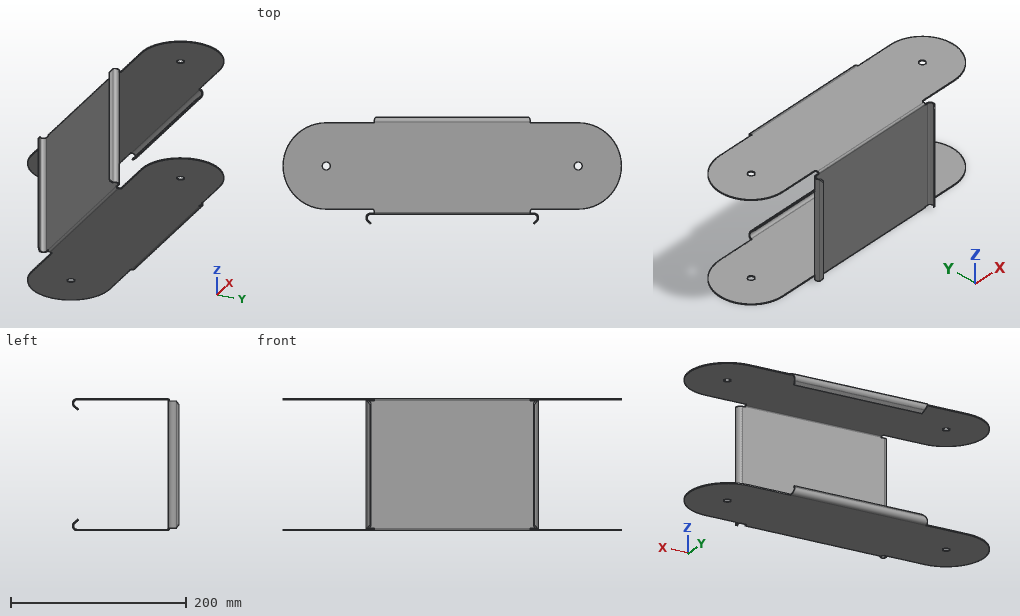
import cadquery as cq
import math

length = 385.0
height = 150.0
sheet = 1.5
plate_width = 98.5
hole_diameter = 9.0
web_front_y = -55.0
flange_width = 178.0
corner_radius = 0.8
relief_radius = 2.0
wing_height = 144.8
web_hook_reach = 98.0
plate_hook_reach = 55.5
hook_radius = 5.5
web_hook_angle = 135.0
web_lip_length = 4.5
web_lip_chamfer = 4.2
plate_hook_angle = 140.0
plate_lip_length = 5.5
plate_hook_taper = 5.5

end_radius = plate_width / 2
hole_spacing = length - plate_width
web_back_y = web_front_y + sheet
half_height = height / 2
bend_outer = corner_radius + sheet
bend_edge_y = web_front_y + bend_outer
bend_edge_z = half_height - bend_outer


def hook(width, angle, lip_length, narrowing, narrow_bend):
    """Hook running along +X and curling to -Y, centred on Z; its sheet starts at the origin.

    Both ends slope inwards by `narrowing` at the tip, from the start of the bend if
    `narrow_bend` is set and otherwise from the start of the lip.
    """
    turn = math.radians(angle)
    inner_radius = hook_radius - sheet

    def on_bend(radius, angle):
        return radius * math.sin(angle), radius * math.cos(angle) - hook_radius

    lip_x = lip_length * math.cos(turn)
    lip_y = -lip_length * math.sin(turn)
    outer_end = on_bend(hook_radius, turn)
    inner_end = on_bend(inner_radius, turn)
    body = (
        cq.Workplane("XY")
        .moveTo(0, 0)
        .threePointArc(on_bend(hook_radius, turn / 2), outer_end)
        .line(lip_x, lip_y)
        .lineTo(inner_end[0] + lip_x, inner_end[1] + lip_y)
        .lineTo(*inner_end)
        .threePointArc(on_bend(inner_radius, turn / 2), (0, -sheet))
        .close()
        .extrude(width / 2, both=True)
    )
    tip_y = outer_end[1] + lip_y
    slope_start_y = 0 if narrow_bend else outer_end[1]
    for side in (-1, 1):
        end = side * width / 2
        slanted_cut = (
            cq.Workplane("YZ")
            .polyline([(slope_start_y, end), (tip_y, end), (tip_y, end - side * narrowing)])
            .close()
            .extrude(hook_radius + lip_length, both=True)
        )
        body = body.cut(slanted_cut)
    return body


def upper_plate():
    """Round-ended plate with its hook at +Y and its bend down to the web at -Y."""
    bottom_z = half_height - sheet
    hook_start_y = plate_hook_reach - hook_radius
    plate = cq.Workplane("XY", origin=(0, 0, bottom_z)).slot2D(length, plate_width).extrude(sheet)
    flange = (
        cq.Workplane("XY", origin=(0, (hook_start_y + bend_edge_y) / 2, bottom_z))
        .rect(flange_width, hook_start_y - bend_edge_y)
        .extrude(sheet)
    )
    plate = plate.union(flange)
    for side in (-1, 1):
        inside_corner = cq.selectors.NearestToPointSelector(
            (side * flange_width / 2, -end_radius, half_height - sheet / 2)
        )
        plate = plate.edges("|Z").edges(inside_corner).fillet(relief_radius)
    holes = (
        cq.Workplane("XY", origin=(0, 0, bottom_z))
        .pushPoints([(-hole_spacing / 2, 0), (hole_spacing / 2, 0)])
        .circle(hole_diameter / 2)
        .extrude(sheet)
    )
    hook_plane = cq.Plane(origin=(0, hook_start_y, half_height), xDir=(0, 1, 0), normal=(1, 0, 0))
    plate_hook = hook(flange_width, plate_hook_angle, plate_lip_length, plate_hook_taper, True)
    plate_hook = cq.Workplane(plate_hook.val().moved(cq.Location(hook_plane)))
    return plate.cut(holes).union(plate_hook).union(web_bend())


def web_bend():
    """Quarter-round bend joining the upper plate to the web."""
    diagonal = math.sqrt(0.5)

    def middle(radius):
        return bend_edge_y - radius * diagonal, bend_edge_z + radius * diagonal

    return (
        cq.Workplane("YZ")
        .moveTo(bend_edge_y, half_height)
        .threePointArc(middle(bend_outer), (web_front_y, bend_edge_z))
        .lineTo(web_back_y, bend_edge_z)
        .threePointArc(middle(corner_radius), (bend_edge_y, half_height - sheet))
        .close()
        .extrude(flange_width / 2, both=True)
    )


def web():
    """Upright sheet with a hook curling to -Y along both side edges."""
    hook_start_x = web_hook_reach - hook_radius
    centre_y = web_front_y + sheet / 2
    wings = cq.Workplane("XY").box(2 * hook_start_x, sheet, wing_height)
    middle = cq.Workplane("XY").box(flange_width, sheet, 2 * bend_edge_z)
    side_hook = hook(wing_height, web_hook_angle, web_lip_length, web_lip_chamfer, False)
    side_hook = side_hook.translate((hook_start_x, web_back_y, 0))
    return (
        wings.union(middle)
        .translate((0, centre_y, 0))
        .union(side_hook)
        .union(side_hook.mirror("YZ"))
    )


top = upper_plate()
result = web().union(top).union(top.mirror("XY"))